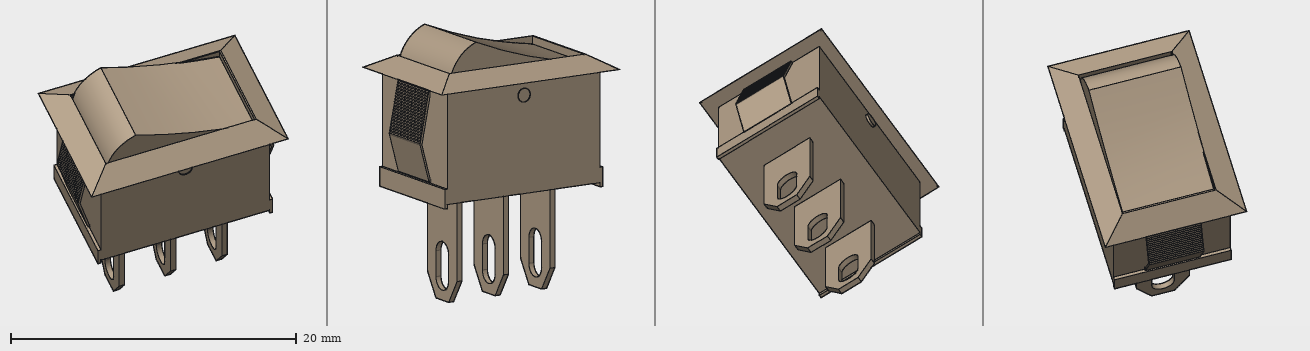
import cadquery as cq
import math


BODY_X = 8.5
BODY_Y = 12.69
BODY_BOTTOM = -8.18
LEDGE_THICKNESS = 0.23
LEDGE_TOP = -7.07
LEDGE_BOTTOM = -8.48

BEZEL_X = 10.3
BEZEL_Y = 14.8
BEZEL_HEIGHT = 1.0
BEZEL_SLOPE_WIDTH = 1.74
BEZEL_TOP_X = BEZEL_X - 2 * BEZEL_SLOPE_WIDTH
BEZEL_TOP_Y = BEZEL_Y - 2 * BEZEL_SLOPE_WIDTH
SIDE_RIM = 0.08
BACK_RIM = 0.11
OPENING_FLOOR = -2.0

TERMINAL_WIDTH = 3.86
TERMINAL_THICKNESS = 0.42
TERMINAL_PITCH = 3.86
TERMINAL_COUNT = 3
TERMINAL_TIP_WIDTH = 1.66
TERMINAL_TIP_Z = -16.17
TERMINAL_SHOULDER_Z = -14.45
EYE_WIDTH = 1.62
EYE_TOP = -11.95
EYE_BOTTOM = -15.45

ROCKER_WIDTH = 6.7
ROCKER_SHIFT_X = -(BEZEL_TOP_X - ROCKER_WIDTH) / 2
ROCKER_HALF_LENGTH = BEZEL_TOP_Y / 2 - BACK_RIM
ROCKER_END_Z = 0.42
ROCKER_PEAK = (-3.36, 2.95)
ROCKER_TOP_MIDDLE = (0.55, 1.53)
ROCKER_NOSE_MIDDLE = (-4.83, 1.91)
ROCKER_UNDERSIDE_MIDDLE = (0, -1.91)
PIVOT_Z = -1.09
PIVOT_RADIUS = 0.5
PIVOT_LENGTH = 8.75

CLIP_WIDTH = 4.0
CLIP_THICKNESS = 0.15
CLIP_TOP = -0.08
CLIP_BEND_Z = -4.25
CLIP_BOTTOM = -7.01
BACK_ARM_OFFSETS = (0.15, 1.17, 0.15)
FRONT_ARM_OFFSETS = (0.02, 0.85, 0.1)
STRAP_THICKNESS = 0.15
STRAP_OVERHANG = 0.08
TOOTH_COUNT = 21
TOOTH_DEPTH = 0.05
TOOTH_TIP_SHARE = 0.4


def box(size_x, size_y, z_bottom, z_top, center=(0, 0)):
    """Block between two heights, centred on an XY point."""
    center_x, center_y = center
    base = cq.Workplane("XY", origin=(center_x, center_y, z_bottom)).rect(size_x, size_y)
    return base.extrude(z_top - z_bottom)


def make_bezel():
    slope_angle = math.degrees(math.atan(BEZEL_SLOPE_WIDTH / BEZEL_HEIGHT))
    return cq.Workplane("XY").rect(BEZEL_X, BEZEL_Y).extrude(BEZEL_HEIGHT, taper=slope_angle)


def make_opening():
    """Rocker well, inset from the bezel's top edge by the two rims."""
    size_x = BEZEL_TOP_X - SIDE_RIM
    size_y = BEZEL_TOP_Y - BACK_RIM
    return box(size_x, size_y, OPENING_FLOOR, BEZEL_HEIGHT, (SIDE_RIM / 2, -BACK_RIM / 2))


def make_terminal(y):
    """Flat pointed blade with an oblong eye."""
    half_width = TERMINAL_WIDTH / 2
    half_tip = TERMINAL_TIP_WIDTH / 2
    plane = cq.Workplane("XZ", origin=(0, y, 0))
    blade = (
        plane.polyline([
            (-half_width, BODY_BOTTOM),
            (half_width, BODY_BOTTOM),
            (half_width, TERMINAL_SHOULDER_Z),
            (half_tip, TERMINAL_TIP_Z),
            (-half_tip, TERMINAL_TIP_Z),
            (-half_width, TERMINAL_SHOULDER_Z),
        ])
        .close()
        .extrude(TERMINAL_THICKNESS / 2, both=True)
    )
    eye = (
        plane.center(0, (EYE_TOP + EYE_BOTTOM) / 2)
        .slot2D(EYE_TOP - EYE_BOTTOM, EYE_WIDTH, 90)
        .extrude(TERMINAL_THICKNESS, both=True)
    )
    return blade.cut(eye)


def make_housing(rocker, clip):
    """Body, bezel, bottom ledges and terminals, with room for the rocker and the clip strap."""
    housing = box(BODY_X, BODY_Y, BODY_BOTTOM, 0).union(make_bezel())
    for side in (-1, 1):
        ledge_y = side * (BODY_Y + LEDGE_THICKNESS) / 2
        housing = housing.union(box(BODY_X, LEDGE_THICKNESS, LEDGE_BOTTOM, LEDGE_TOP, (0, ledge_y)))
    for index in range(TERMINAL_COUNT):
        terminal_y = (index - (TERMINAL_COUNT - 1) / 2) * TERMINAL_PITCH
        housing = housing.union(make_terminal(terminal_y))
    housing = housing.cut(make_opening())
    return housing.cut(rocker).cut(clip)


def make_rocker():
    """Rocker with a dished top, a rounded nose and underside, and a pivot pin on each side."""
    back_end = (ROCKER_HALF_LENGTH, ROCKER_END_Z)
    front_end = (-ROCKER_HALF_LENGTH, ROCKER_END_Z)
    body = (
        cq.Workplane("YZ", origin=(ROCKER_SHIFT_X, 0, 0))
        .moveTo(*back_end)
        .threePointArc(ROCKER_TOP_MIDDLE, ROCKER_PEAK)
        .threePointArc(ROCKER_NOSE_MIDDLE, front_end)
        .threePointArc(ROCKER_UNDERSIDE_MIDDLE, back_end)
        .close()
        .extrude(ROCKER_WIDTH / 2, both=True)
    )
    pivot = (
        cq.Workplane("YZ", origin=(ROCKER_SHIFT_X, 0, PIVOT_Z))
        .circle(PIVOT_RADIUS)
        .extrude(PIVOT_LENGTH / 2, both=True)
    )
    return body.union(pivot)


def make_clip_arm(side, offsets):
    """Bent arm on the +Y (side = 1) or -Y (side = -1) wall, toothed above the bend."""
    top_offset, bend_offset, bottom_offset = offsets
    pitch = (CLIP_TOP - CLIP_BEND_Z) / TOOTH_COUNT
    offset_step = (bend_offset - top_offset) / TOOTH_COUNT
    outline = [(top_offset, CLIP_TOP)]
    for tooth in range(TOOTH_COUNT):
        tip_place = tooth + TOOTH_TIP_SHARE
        tip_offset = top_offset + tip_place * offset_step + TOOTH_DEPTH
        outline.append((tip_offset, CLIP_TOP - tip_place * pitch))
        outline.append((top_offset + (tooth + 1) * offset_step, CLIP_TOP - (tooth + 1) * pitch))
    outline += [
        (bottom_offset, CLIP_BOTTOM),
        (bottom_offset - CLIP_THICKNESS, CLIP_BOTTOM),
        (bend_offset - CLIP_THICKNESS, CLIP_BEND_Z),
        (top_offset - CLIP_THICKNESS, CLIP_TOP),
    ]
    points = [(side * (BODY_Y / 2 + offset), z) for offset, z in outline]
    arm = cq.Workplane("YZ").polyline(points).close().extrude(CLIP_WIDTH / 2, both=True)
    return arm.cut(box(BODY_X, BODY_Y, BODY_BOTTOM, 0))


def make_clip():
    strap_length = BODY_Y + 2 * STRAP_OVERHANG
    strap = box(CLIP_WIDTH, strap_length, CLIP_BOTTOM, CLIP_BOTTOM + STRAP_THICKNESS)
    back_arm = make_clip_arm(1, BACK_ARM_OFFSETS)
    front_arm = make_clip_arm(-1, FRONT_ARM_OFFSETS)
    return strap.union(back_arm).union(front_arm)


rocker = make_rocker()
clip = make_clip()
housing = make_housing(rocker, clip)

result = cq.Compound.makeCompound([
    housing.solids().val(),
    rocker.solids().val(),
    clip.solids().val(),
])